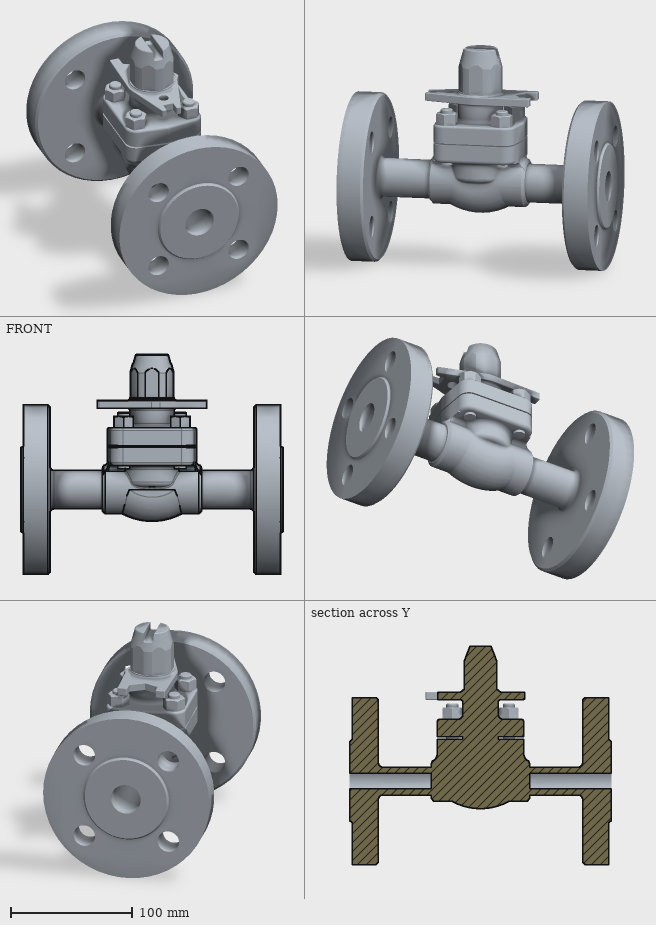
import cadquery as cq
import math


face_to_face = 216.0
flange_diameter = 140.0
flange_thickness = 22.0
flange_rim_chamfer = 2.0
raised_face_height = 2.0
raised_face_base_diameter = 72.0
raised_face_top_diameter = 69.0
bolt_circle_diameter = 100.0
bolt_hole_diameter = 18.0
bolt_hole_count = 4
bore_diameter = 25.0

pipe_diameter = 32.0
pipe_root_fillet = 3.0

barrel_diameter = 40.0
barrel_half_length = 41.0
barrel_chamfer = 2.4

belly_tube_radius = 20.1
belly_dip = 6.1
belly_wall_half_length = 18.5
belly_base_half_length = 27.5

neck_radius = 25.6
neck_bottom = 2.4
neck_bottom_fillet = 4.0
neck_top_fillet = 2.9
neck_barrel_fillet = 1.5

square_half_width = 33.2
apex_half_length = 37.0
square_corner_radius = 10.0
body_flange_bottom = 19.6
body_flange_top = 34.8
body_flange_fillet = 3.0
bonnet_flange_bottom = 36.2
bonnet_flange_top = 51.0
bonnet_flange_fillet = 2.0
gasket_diameter = 36.8

saddle_half_width = 13.2
saddle_top_half_width = square_half_width - square_corner_radius
gusset_height = 4.0
gusset_arc_radius = 5.0
gusset_embedded_depth = 1.0
gusset_lip = 1.0

stud_circle_diameter = 66.0
stud_diameter = 10.0
stud_bottom = 17.3
stud_top = 63.8
stud_chamfer = 0.8
nut_across_flats = 16.0
nut_height = 9.6
nut_face_diameter = 15.0
nut_bevel_angle = 30.0

column_diameter = 36.8
column_root_fillet = 3.6
plate_seat_diameter = 40.0

plate_bottom = 67.0
plate_top = 73.6
plate_half_length = 45.2
plate_hub_radius = 21.2
plate_edge_fillet = 0.6
wide_end_half_width = 20.0
wide_notch_half_width = 11.8
wide_notch_wall_x = -36.0
wide_notch_apex_x = -29.5
narrow_end_half_width = 8.2
narrow_notch_half_width = 4.2
narrow_notch_depth = 8.3
prong_corner_radius = 1.2
plate_hole_diameter = 8.38
plate_hole_x = 26.7

cap_top = 111.5
cap_radius = 18.0
cap_flat_count = 6
cap_flat_distance = 17.07
cap_cone_height = 15.0
cap_cone_angle = 15.0
cap_top_chamfer = 0.6
cap_collar_radius = 18.5
cap_collar_base_radius = 19.7
cap_collar_top = 75.7
slot_width = 8.5
slot_depth = 7.8
slot_floor_fillet = 1.4
slot_edge_chamfer = 0.5

half_length = face_to_face / 2
flange_outer_x = half_length - raised_face_height
flange_inner_x = flange_outer_x - flange_thickness
barrel_radius = barrel_diameter / 2


def cylinder(diameter, bottom, top):
    return cq.Workplane("XY").workplane(offset=bottom).circle(diameter / 2).extrude(top - bottom)


def both_ends(shape):
    return shape.union(shape.mirror("YZ"))


def make_pipe_end():
    """Pipe, weld fillet, flange and raised face on the +X side."""
    pipe_radius = pipe_diameter / 2
    flange_radius = flange_diameter / 2
    body = (
        cq.Workplane("XY")
        .moveTo(0, 0)
        .lineTo(0, pipe_radius)
        .lineTo(flange_inner_x - pipe_root_fillet, pipe_radius)
        .radiusArc((flange_inner_x, pipe_radius + pipe_root_fillet), -pipe_root_fillet)
        .lineTo(flange_inner_x, flange_radius - flange_rim_chamfer)
        .lineTo(flange_inner_x + flange_rim_chamfer, flange_radius)
        .lineTo(flange_outer_x, flange_radius)
        .lineTo(flange_outer_x, raised_face_base_diameter / 2)
        .lineTo(half_length, raised_face_top_diameter / 2)
        .lineTo(half_length, 0)
        .close()
        .revolve(360, (0, 0, 0), (1, 0, 0))
    )
    bolt_holes = (
        cq.Workplane("YZ")
        .workplane(offset=flange_inner_x)
        .polarArray(bolt_circle_diameter / 2, 180 / bolt_hole_count, 360, bolt_hole_count)
        .circle(bolt_hole_diameter / 2)
        .extrude(flange_thickness)
    )
    return body.cut(bolt_holes)


def make_bore():
    """Blind bore on the +X side, as deep as the pipe is long."""
    return (
        cq.Workplane("YZ")
        .workplane(offset=barrel_half_length)
        .circle(bore_diameter / 2)
        .extrude(half_length - barrel_half_length)
    )


def make_barrel():
    return (
        cq.Workplane("YZ")
        .workplane(offset=-barrel_half_length)
        .circle(barrel_radius)
        .extrude(2 * barrel_half_length)
        .faces("<X or >X")
        .chamfer(barrel_chamfer)
    )


def make_barrel_with_neck():
    """Barrel and neck joined by a fillet along their closed intersection curve."""
    reach = neck_radius + 1
    seam = cq.selectors.BoxSelector(
        (-reach, -barrel_radius, neck_bottom - 1), (reach, barrel_radius, barrel_radius + 1)
    )
    joined = make_barrel().union(make_neck()).edges(seam - cq.selectors.TypeSelector("CIRCLE"))
    return joined.fillet(neck_barrel_fillet).union(make_neck_flare())


def make_belly():
    """Lower part of a bent tube, closed upwards to the flow axis by flat walls."""
    bend_radius = (belly_wall_half_length**2 + belly_dip**2) / (2 * belly_dip)
    bend_centre = cq.Vector(0, 0, bend_radius - belly_dip)
    tube = cq.Workplane(cq.Solid.makeTorus(bend_radius, belly_tube_radius, bend_centre, cq.Vector(0, 1, 0)))
    walls = (
        cq.Workplane("XZ")
        .moveTo(-belly_wall_half_length, 0)
        .threePointArc((0, -belly_dip), (belly_wall_half_length, 0))
        .close()
        .extrude(belly_tube_radius, both=True)
    )
    belly_bottom = -belly_dip - belly_tube_radius
    limits = (
        cq.Workplane("XZ")
        .moveTo(-belly_wall_half_length, 0)
        .lineTo(belly_wall_half_length, 0)
        .lineTo(belly_base_half_length, -barrel_radius)
        .lineTo(belly_base_half_length, belly_bottom)
        .lineTo(-belly_base_half_length, belly_bottom)
        .lineTo(-belly_base_half_length, -barrel_radius)
        .close()
        .extrude(belly_tube_radius, both=True)
    )
    return tube.intersect(limits).union(walls)


def make_neck():
    """Round neck with a rounded lower rim."""
    return cylinder(2 * neck_radius, neck_bottom, body_flange_top).faces("<Z").fillet(neck_bottom_fillet)


def make_neck_flare():
    """Concave fillet between the neck and the underside of the body flange."""
    flare = neck_radius + neck_top_fillet
    return (
        cq.Workplane("XZ")
        .moveTo(0, body_flange_bottom - neck_top_fillet)
        .lineTo(neck_radius, body_flange_bottom - neck_top_fillet)
        .radiusArc((flare, body_flange_bottom), neck_top_fillet)
        .lineTo(0, body_flange_bottom)
        .close()
        .revolve(360, (0, 0, 0), (0, 1, 0))
    )


def make_saddle():
    """Wall along the top of the barrel that carries the body flange out to its X sides."""
    top = body_flange_bottom + body_flange_fillet
    flare = saddle_half_width + neck_top_fillet
    wall = (
        cq.Workplane("YZ")
        .moveTo(0, 0)
        .lineTo(saddle_half_width, 0)
        .lineTo(saddle_half_width, body_flange_bottom - neck_top_fillet)
        .radiusArc((flare, body_flange_bottom), neck_top_fillet)
        .lineTo(saddle_top_half_width, body_flange_bottom)
        .lineTo(saddle_top_half_width, top)
        .lineTo(0, top)
        .close()
        .extrude(apex_half_length, both=True)
    )
    return wall.union(wall.mirror("XZ")).intersect(make_square_flange(0, top))


def make_flange_gusset():
    """Concave ring sector between the side of the body flange and the +X end of the barrel."""
    lip_x = barrel_half_length - barrel_chamfer + gusset_lip
    crest_radius = barrel_radius + gusset_height
    root_x = apex_half_length - gusset_embedded_depth
    ring = (
        cq.Workplane("XY")
        .moveTo(root_x, 0)
        .lineTo(root_x, crest_radius)
        .radiusArc((lip_x, barrel_radius), -gusset_arc_radius)
        .lineTo(barrel_half_length, barrel_radius - barrel_chamfer)
        .lineTo(barrel_half_length, 0)
        .close()
        .revolve(360, (0, 0, 0), (1, 0, 0))
    )
    keep = cq.Workplane("XY").box(
        2 * barrel_half_length, 2 * saddle_half_width, crest_radius, centered=(True, True, False)
    )
    return ring.intersect(keep)


def make_square_flange(bottom, top):
    """Square flange whose two X sides bulge to a shallow ridge on the flow axis."""
    w = square_half_width
    outline = [(apex_half_length, 0), (w, w), (-w, w), (-apex_half_length, 0), (-w, -w), (w, -w)]
    flange = cq.Workplane("XY").workplane(offset=bottom).polyline(outline).close().extrude(top - bottom)
    for corner_side in (">Y", "<Y"):
        flange = flange.edges("|Z").edges(corner_side).fillet(square_corner_radius)
    return flange


def make_stud_with_nut():
    stud = cylinder(stud_diameter, stud_bottom, stud_top).faces(">Z").chamfer(stud_chamfer)
    corner_diameter = nut_across_flats / math.cos(math.pi / 6)
    nut = (
        cq.Workplane("XY")
        .workplane(offset=bonnet_flange_top)
        .transformed(rotate=(0, 0, 30))
        .polygon(6, corner_diameter)
        .extrude(nut_height)
    )
    corner_bevel = (corner_diameter - nut_face_diameter) / 2
    envelope = (
        cylinder(corner_diameter, bonnet_flange_top, bonnet_flange_top + nut_height)
        .faces(">Z")
        .chamfer(corner_bevel * math.tan(math.radians(nut_bevel_angle)), corner_bevel)
    )
    return stud.union(nut.intersect(envelope))


def make_studs():
    stud = make_stud_with_nut()
    offset = stud_circle_diameter / 2 / math.sqrt(2)
    studs = cq.Workplane("XY")
    for x in (-offset, offset):
        for y in (-offset, offset):
            studs = studs.union(stud.translate((x, y, 0)))
    return studs


def make_column():
    """Bonnet column flaring out through concave fillets to the flange and to the lock plate."""
    radius = column_diameter / 2
    seat_radius = plate_seat_diameter / 2
    seat_fillet = seat_radius - radius
    return (
        cq.Workplane("XZ")
        .moveTo(0, bonnet_flange_top)
        .lineTo(radius + column_root_fillet, bonnet_flange_top)
        .radiusArc((radius, bonnet_flange_top + column_root_fillet), column_root_fillet)
        .lineTo(radius, plate_bottom - seat_fillet)
        .radiusArc((seat_radius, plate_bottom), seat_fillet)
        .lineTo(0, plate_bottom)
        .close()
        .revolve(360, (0, 0, 0), (0, 1, 0))
    )


def hub_tangent_point(x, y):
    """Point where the upper tangent from (x, y) touches the plate hub circle."""
    side = 1 if x < 0 else -1
    angle = math.atan2(y, x) - side * math.acos(plate_hub_radius / math.hypot(x, y))
    return plate_hub_radius * math.cos(angle), plate_hub_radius * math.sin(angle)


def make_lock_plate():
    wide_x, wide_y = hub_tangent_point(-plate_half_length, wide_end_half_width)
    narrow_x, narrow_y = hub_tangent_point(plate_half_length, narrow_end_half_width)
    arc_x = (wide_x + narrow_x) / 2
    arc_y = math.sqrt(plate_hub_radius**2 - arc_x**2)
    notch_floor_x = plate_half_length - narrow_notch_depth
    plate = (
        cq.Workplane("XY")
        .workplane(offset=plate_bottom)
        .moveTo(-plate_half_length, wide_end_half_width)
        .lineTo(wide_x, wide_y)
        .threePointArc((arc_x, arc_y), (narrow_x, narrow_y))
        .lineTo(plate_half_length, narrow_end_half_width)
        .lineTo(plate_half_length, narrow_notch_half_width)
        .lineTo(notch_floor_x, narrow_notch_half_width)
        .lineTo(notch_floor_x, 0)
        .lineTo(wide_notch_apex_x, 0)
        .lineTo(wide_notch_wall_x, wide_notch_half_width)
        .lineTo(-plate_half_length, wide_notch_half_width)
        .close()
        .extrude(plate_top - plate_bottom)
    )
    plate = plate.union(plate.mirror("XZ"))
    plate = plate.edges("|Z").edges("<X or >X").fillet(prong_corner_radius)
    plate = plate.faces("<Z or >Z").edges().fillet(plate_edge_fillet)
    hole = cylinder(plate_hole_diameter, plate_bottom, plate_top).translate((plate_hole_x, 0, 0))
    return plate.cut(hole)


def make_cap():
    """Conical cap with wrench flats, a collar on the plate and a screwdriver slot along X."""
    cone_bottom = cap_top - cap_cone_height
    cone_top_radius = cap_radius - cap_cone_height * math.tan(math.radians(cap_cone_angle))
    cap = (
        cq.Workplane("XY")
        .workplane(offset=plate_top)
        .polygon(cap_flat_count, 2 * cap_flat_distance / math.cos(math.pi / cap_flat_count))
        .extrude(cap_top - plate_top)
    )
    envelope = (
        cq.Workplane("XZ")
        .moveTo(0, plate_top)
        .lineTo(cap_radius, plate_top)
        .lineTo(cap_radius, cone_bottom)
        .lineTo(cone_top_radius, cap_top)
        .lineTo(0, cap_top)
        .close()
        .revolve(360, (0, 0, 0), (0, 1, 0))
        .faces(">Z")
        .chamfer(cap_top_chamfer)
    )
    collar = (
        cq.Workplane("XZ")
        .moveTo(0, plate_top)
        .lineTo(cap_collar_base_radius, plate_top)
        .lineTo(cap_collar_radius, plate_top + cap_collar_base_radius - cap_collar_radius)
        .lineTo(cap_collar_radius, cap_collar_top)
        .lineTo(0, cap_collar_top)
        .close()
        .revolve(360, (0, 0, 0), (0, 1, 0))
    )
    return cap.intersect(envelope).union(collar).cut(make_slot())


def make_slot():
    half = slot_width / 2
    floor = cap_top - slot_depth
    slot = (
        cq.Workplane("YZ")
        .moveTo(-half, floor)
        .lineTo(half, floor)
        .lineTo(half, cap_top - slot_edge_chamfer)
        .lineTo(half + slot_edge_chamfer, cap_top)
        .lineTo(-half - slot_edge_chamfer, cap_top)
        .lineTo(-half, cap_top - slot_edge_chamfer)
        .close()
        .extrude(cap_radius, both=True)
    )
    return slot.faces("<Z").edges("|X").fillet(slot_floor_fillet)


body_flange = make_square_flange(body_flange_bottom, body_flange_top)
body_flange = body_flange.faces("<Z").edges().fillet(body_flange_fillet)
bonnet_flange = make_square_flange(bonnet_flange_bottom, bonnet_flange_top)
bonnet_flange = bonnet_flange.faces(">Z").edges().fillet(bonnet_flange_fillet)

result = (
    both_ends(make_pipe_end())
    .union(make_barrel_with_neck())
    .union(make_belly())
    .union(make_saddle())
    .union(both_ends(make_flange_gusset()))
    .union(body_flange)
    .union(cylinder(gasket_diameter, body_flange_top, bonnet_flange_bottom))
    .union(bonnet_flange)
    .union(make_studs())
    .union(make_column())
    .union(make_lock_plate())
    .union(make_cap())
    .cut(both_ends(make_bore()))
)